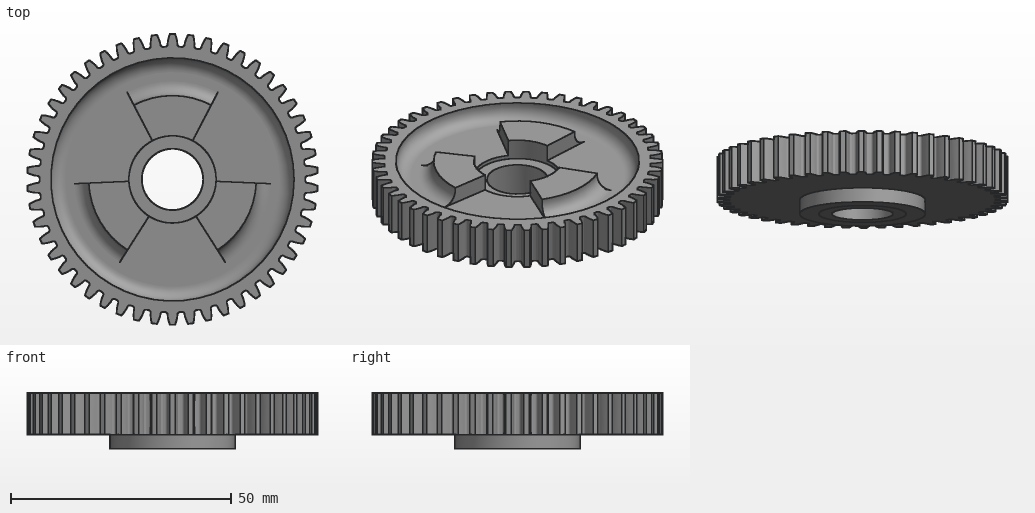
import cadquery as cq
import math

TOOTH_COUNT = 50
TIP_RADIUS = 33.0
MODULE = 2 * TIP_RADIUS / (TOOTH_COUNT + 2)
PITCH_RADIUS = MODULE * TOOTH_COUNT / 2
PRESSURE_ANGLE = math.radians(14.5)
BASE_RADIUS = PITCH_RADIUS * math.cos(PRESSURE_ANGLE)
ROOT_RADIUS = 30.2
ROOT_FILLET = (BASE_RADIUS**2 - ROOT_RADIUS**2) / (2 * ROOT_RADIUS)
FLANK_STEPS = 3

GEAR_HEIGHT = 9.5
HUB_RADIUS = 14.25
HUB_LENGTH = 3.25
RECESS_RADIUS = 27.6
RECESS_DEPTH = 3.8
COVE_RADIUS = 3.25
FLOOR_HEIGHT = GEAR_HEIGHT - RECESS_DEPTH

DOG_COUNT = 3
DOG_ANGLE = 55.0
DOG_TOP_RADIUS = 19.0
DOG_FOOT_RADIUS = DOG_TOP_RADIUS + COVE_RADIUS
FIRST_DOG_DIRECTION = 90.0

BUSHING_RADIUS = 9.9
BORE_RADIUS = 6.95
BUSHING_SETBACK = 0.9
BUSHING_LENGTH = HUB_LENGTH + FLOOR_HEIGHT - BUSHING_SETBACK


def polar(radius, angle):
    """Point at a radius and an angle in radians."""
    return (radius * math.cos(angle), radius * math.sin(angle))


def involute(angle):
    """Involute function of a pressure angle."""
    return math.tan(angle) - angle


def tooth_half_angle(radius):
    """Half of the angle a tooth covers at a radius on its involute flank."""
    local_pressure_angle = math.acos(BASE_RADIUS / radius)
    at_pitch = math.pi / (2 * TOOTH_COUNT)
    return at_pitch + involute(PRESSURE_ANGLE) - involute(local_pressure_angle)


def tooth_disc():
    """Toothed disc: involute flanks with rounded roots."""
    pitch_angle = 2 * math.pi / TOOTH_COUNT
    tip_half = tooth_half_angle(TIP_RADIUS)
    tip_pressure_angle = math.acos(BASE_RADIUS / TIP_RADIUS)
    base_half = tooth_half_angle(BASE_RADIUS)
    flank_radii = [
        BASE_RADIUS + (TIP_RADIUS - BASE_RADIUS) * step / FLANK_STEPS
        for step in range(FLANK_STEPS + 1)
    ]

    fillet_center_radius = ROOT_RADIUS + ROOT_FILLET
    fillet_turn = math.asin(ROOT_FILLET / fillet_center_radius)
    root_half = base_half + fillet_turn

    def fillet_middle(tooth_angle, side):
        """Middle of the root fillet on one side (+1 or -1) of a tooth."""
        center_x, center_y = polar(fillet_center_radius, tooth_angle + side * root_half)
        to_root = tooth_angle + side * root_half + math.pi
        to_flank = tooth_angle + side * (base_half - math.pi / 2)
        toward_x = math.cos(to_root) + math.cos(to_flank)
        toward_y = math.sin(to_root) + math.sin(to_flank)
        reach = ROOT_FILLET / math.hypot(toward_x, toward_y)
        return (center_x + reach * toward_x, center_y + reach * toward_y)

    first_tooth = math.pi / 2
    outline = cq.Workplane("XY").moveTo(*polar(ROOT_RADIUS, first_tooth - root_half))
    for index in range(TOOTH_COUNT):
        middle = first_tooth + index * pitch_angle
        rising = [polar(r, middle - tooth_half_angle(r)) for r in flank_radii]
        falling = [polar(r, middle + tooth_half_angle(r)) for r in reversed(flank_radii)]
        rising_tangents = [
            polar(1, middle - base_half),
            polar(1, middle - tip_half + tip_pressure_angle),
        ]
        falling_tangents = [
            polar(-1, middle + tip_half - tip_pressure_angle),
            polar(-1, middle + base_half),
        ]
        outline = (
            outline
            .threePointArc(fillet_middle(middle, -1), rising[0])
            .spline(rising[1:], tangents=rising_tangents, includeCurrent=True)
            .threePointArc(polar(TIP_RADIUS, middle), polar(TIP_RADIUS, middle + tip_half))
            .spline(falling[1:], tangents=falling_tangents, includeCurrent=True)
            .threePointArc(fillet_middle(middle, 1), polar(ROOT_RADIUS, middle + root_half))
            .threePointArc(
                polar(ROOT_RADIUS, middle + pitch_angle / 2),
                polar(ROOT_RADIUS, middle + pitch_angle - root_half),
            )
        )
    return outline.close().extrude(GEAR_HEIGHT)


def cove_middle(center_radius, side):
    """Middle of the cove's quarter arc; side is +1 outside or -1 inside its centre."""
    offset = COVE_RADIUS * math.sqrt(0.5)
    return (center_radius + side * offset, FLOOR_HEIGHT + COVE_RADIUS - offset)


def recess():
    """Round recess in the upper face, with a cove where its wall meets the floor."""
    cove_center_radius = RECESS_RADIUS - COVE_RADIUS
    return (
        cq.Workplane("XZ")
        .moveTo(0, FLOOR_HEIGHT)
        .lineTo(cove_center_radius, FLOOR_HEIGHT)
        .threePointArc(cove_middle(cove_center_radius, 1), (RECESS_RADIUS, FLOOR_HEIGHT + COVE_RADIUS))
        .lineTo(RECESS_RADIUS, GEAR_HEIGHT)
        .lineTo(0, GEAR_HEIGHT)
        .close()
        .revolve(360, (0, 0, 0), (0, 1, 0))
    )


def dog(direction):
    """Sector-shaped dog, level with the rim, with a cove along its outer foot."""
    return (
        cq.Workplane("XZ")
        .moveTo(0, FLOOR_HEIGHT)
        .lineTo(DOG_FOOT_RADIUS, FLOOR_HEIGHT)
        .threePointArc(cove_middle(DOG_FOOT_RADIUS, -1), (DOG_TOP_RADIUS, FLOOR_HEIGHT + COVE_RADIUS))
        .lineTo(DOG_TOP_RADIUS, GEAR_HEIGHT)
        .lineTo(0, GEAR_HEIGHT)
        .close()
        .revolve(DOG_ANGLE, (0, 0, 0), (0, 1, 0))
        .rotate((0, 0, 0), (0, 0, 1), direction - DOG_ANGLE / 2)
    )


def make_gear():
    """Gear with its recess, dogs, lower hub and the hole for the bushing."""
    hub = cq.Workplane("XY").circle(HUB_RADIUS).extrude(-HUB_LENGTH)
    body = tooth_disc().union(hub).cut(recess())
    for index in range(DOG_COUNT):
        body = body.union(dog(FIRST_DOG_DIRECTION + index * 360 / DOG_COUNT))
    bushing_hole = (
        cq.Workplane("XY", origin=(0, 0, -HUB_LENGTH))
        .circle(BUSHING_RADIUS)
        .extrude(HUB_LENGTH + GEAR_HEIGHT)
    )
    return body.cut(bushing_hole).solids()


def make_bushing():
    """Plain bushing, flush with the hub's end and set back from the recess floor."""
    return (
        cq.Workplane("XY", origin=(0, 0, -HUB_LENGTH))
        .circle(BUSHING_RADIUS)
        .circle(BORE_RADIUS)
        .extrude(BUSHING_LENGTH)
    )


gear = make_gear()
bushing = make_bushing()

result = cq.Compound.makeCompound([gear.val(), bushing.val()])